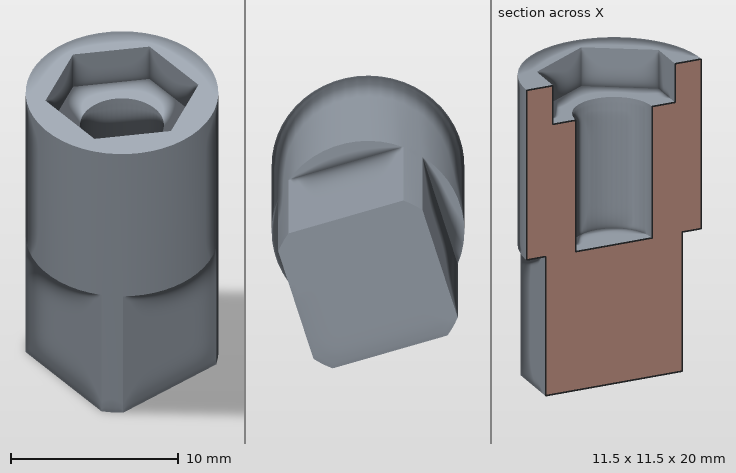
import cadquery as cq
import math

total_height = 20
head_diameter = 11.5
head_height = 11
shank_height = total_height - head_height
shank_width = 9

hex_across_flats = 8
hex_across_corners = hex_across_flats / math.cos(math.pi / 6)
hex_depth = 2.5
bore_diameter = 5
bore_depth = head_height - hex_depth


def make_head():
    """Round head standing on top of the shank."""
    return cq.Workplane("XY").workplane(offset=shank_height).circle(head_diameter / 2).extrude(head_height)


def make_shank():
    """Square shank whose corners are rounded to the head diameter."""
    square = cq.Workplane("XY").rect(shank_width, shank_width).extrude(shank_height)
    envelope = cq.Workplane("XY").circle(head_diameter / 2).extrude(shank_height)
    return square.intersect(envelope)


def make_recess():
    """Hexagonal pocket, corners along X, with a blind round bore in its floor."""
    top = cq.Workplane("XY").workplane(offset=total_height)
    pocket = top.polygon(6, hex_across_corners).extrude(-hex_depth)
    bore = top.circle(bore_diameter / 2).extrude(-(hex_depth + bore_depth))
    return pocket.union(bore)


result = make_head().union(make_shank()).cut(make_recess())